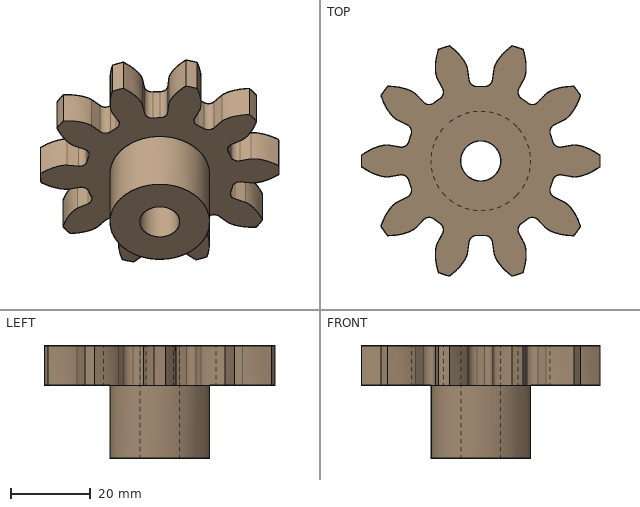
import cadquery as cq
import math

tip_diameter = 60.0
tooth_count = 10
pressure_angle = math.radians(20)
face_width = 10.0
total_height = 28.3
hub_diameter = 25.0
bore_diameter = 10.0
root_fillet = 1.9
dedendum_factor = 1.25
flank_samples = 8

module = tip_diameter / (tooth_count + 2)
tip_radius = tip_diameter / 2
pitch_radius = module * tooth_count / 2
base_radius = pitch_radius * math.cos(pressure_angle)
root_radius = pitch_radius - dedendum_factor * module
tooth_pitch = 2 * math.pi / tooth_count
base_half_angle = tooth_pitch / 4 + math.tan(pressure_angle) - pressure_angle
tip_roll = math.sqrt((tip_radius / base_radius) ** 2 - 1)
tip_half_angle = base_half_angle - (tip_roll - math.atan(tip_roll))


def polar(radius, angle):
    return (radius * math.cos(angle), radius * math.sin(angle))


def flank(center_angle, side):
    """Involute from base circle to tip; side is -1 before the tooth centre, +1 after it."""
    points = []
    for i in range(flank_samples + 1):
        roll = tip_roll * i / flank_samples
        radius = base_radius * math.sqrt(1 + roll ** 2)
        half_angle = base_half_angle - (roll - math.atan(roll))
        points.append(polar(radius, center_angle + side * half_angle))
    return points


def make_toothed_wheel():
    """Teeth with involute flanks, radial roots below the base circle and filleted gaps."""
    outline = cq.Workplane("XY").moveTo(*polar(root_radius, -base_half_angle))
    for tooth in range(tooth_count):
        center = tooth * tooth_pitch
        rising = flank(center, -1)
        falling = flank(center, 1)[::-1]
        outline = outline.lineTo(*rising[0]).spline(rising[1:], includeCurrent=True)
        outline = outline.threePointArc(polar(tip_radius, center), falling[0])
        outline = outline.spline(falling[1:], includeCurrent=True)
        outline = outline.lineTo(*polar(root_radius, center + base_half_angle))
        outline = outline.threePointArc(
            polar(root_radius, center + tooth_pitch / 2),
            polar(root_radius, center + tooth_pitch - base_half_angle),
        )
    wheel = outline.close().extrude(face_width)

    def is_root_corner(edge):
        position = edge.Center()
        return math.hypot(position.x, position.y) < (root_radius + base_radius) / 2

    root_corners = wheel.edges("|Z").filter(is_root_corner)
    return wheel.newObject(root_corners.vals()).fillet(root_fillet)


hub_height = total_height - face_width
hub = cq.Workplane("XY").circle(hub_diameter / 2).extrude(hub_height)
wheel = make_toothed_wheel().translate((0, 0, hub_height))
bore = cq.Workplane("XY").circle(bore_diameter / 2).extrude(total_height)
result = hub.union(wheel).cut(bore)